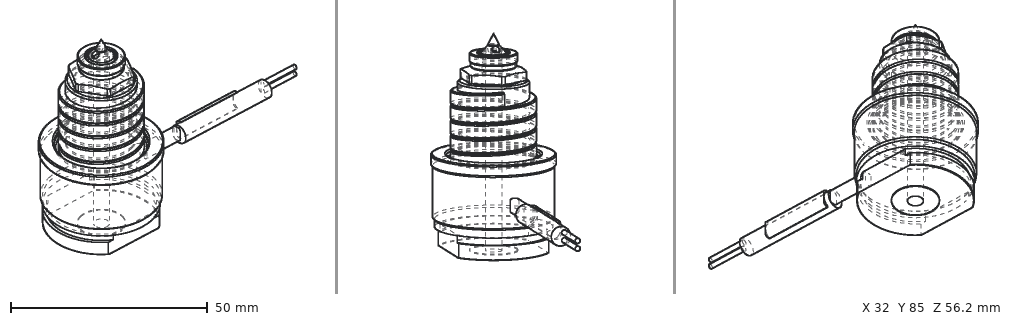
import cadquery as cq
import math


TOTAL_HEIGHT = 56.2
TOTAL_LENGTH = 85.0
FLANGE_RADIUS = 16.0

BOSS_RADIUS = 6.1
BOSS_HEIGHT = 0.25
FOOT_RADIUS = 15.0
FOOT_TOP_Z = 4.1
FOOT_CHAMFER = 0.2
UNDERCUT_RADIUS = 14.0
UNDERCUT_TOP_Z = 6.1
FLATS_WIDTH = 24.0

SKIRT_RADIUS = 15.05
BODY_RADIUS = 15.55
BODY_BOTTOM_Z = 8.2
FLANGE_BOTTOM_Z = 21.9
FLANGE_TOP_Z = 25.1
STEP_CHAMFER = 0.5
FLANGE_CHAMFER = 0.3

RECESS_RADIUS = 12.0
RECESS_DEPTH = 1.7
RECESS_CHAMFER = 0.4

CORE_RADIUS = 9.2
CORE_TOP_Z = 44.0
CORE_CHAMFER = 0.5
RIDGE_RADIUS = 11.0
RIDGE_HEIGHT = 3.4
RIDGE_PITCH = 3.9
RIDGE_CHAMFER = 0.3
RIDGE_TURNS = 5.1
RIDGE_END_TOP_Z = 42.75
RIDGE_END_ANGLE = 87.5
RIDGE_OVERLAP = 0.7

NECK_RADIUS = 7.0
NUT_SIDES = 6
NUT_BOTTOM_Z = 44.45
NUT_FLATS_WIDTH = 15.3
NUT_CORNER_RADIUS = 8.6
NUT_EDGE_Z = 46.6
NUT_TOP_Z = 47.4
COLLAR_WAIST_RADIUS = 5.5
COLLAR_NECK_RADIUS = 5.9
COLLAR_NECK_BOTTOM_Z = 47.8
COLLAR_NECK_TOP_Z = 48.8
COLLAR_RADIUS = 6.1
COLLAR_BOTTOM_Z = 49.1
COLLAR_TOP_Z = 51.25
COLLAR_CHAMFER = 0.25

TIP_RADIUS = 1.45
TIP_BASE_Z = 53.1
TIP_BAND_HEIGHT = 0.25
TORPEDO_RADIUS = 3.3
TORPEDO_BASE_Z = TIP_BASE_Z - (TORPEDO_RADIUS - TIP_RADIUS)
MOAT_RADIUS = 3.9
MOAT_CHAMFER = 0.3
MOAT_DEPTH = 1.3

BORE_RADIUS = 2.0
BORE_TOP_Z = 51.3
OUTLET_RADIUS = 1.0
OUTLET_Y = 2.1
OUTLET_Z = TIP_BASE_Z - (OUTLET_Y - TIP_RADIUS)
OUTLET_ANGLE = 45.0

CABLE_Z = 14.45
CABLE_X = -0.8
CABLE_WIDTH = 2.4
CABLE_HEIGHT = 3.8
CABLE_FILLET = 0.7
CABLE_START_Y = 12.75
SLEEVE_Z = 14.5
SLEEVE_RADIUS = 2.55
SLEEVE_START_Y = 27.4
SLEEVE_END_Y = 57.6
PAD_START_Y = 28.9
PAD_END_Y = 48.9
PAD_INNER_X = -1.0
PAD_OUTER_X = -2.6
PAD_HEIGHT = 4.9
PAD_FILLET = 1.0
WIRE_RADIUS = 0.7
WIRE_X = -0.9
WIRE_SPACING = 2.0
WIRE_END_Y = TOTAL_LENGTH - FLANGE_RADIUS


def revolved(points):
    """Solid of revolution about Z from (radius, z) points."""
    return cq.Workplane("XZ").polyline(points).close().revolve(360, (0, 0), (0, 1))


def along_y(x, z, start_y, end_y):
    """Workplane at (x, start_y, z) facing +Y, with the length to extrude."""
    plane = cq.Plane(origin=(x, start_y, z), xDir=(1, 0, 0), normal=(0, 1, 0))
    return cq.Workplane(plane), end_y - start_y


def make_base():
    foot = revolved([
        (0, 0),
        (BOSS_RADIUS, 0),
        (BOSS_RADIUS, BOSS_HEIGHT),
        (FOOT_RADIUS - FOOT_CHAMFER, BOSS_HEIGHT),
        (FOOT_RADIUS, BOSS_HEIGHT + FOOT_CHAMFER),
        (FOOT_RADIUS, FOOT_TOP_Z),
        (UNDERCUT_RADIUS, FOOT_TOP_Z),
        (UNDERCUT_RADIUS, UNDERCUT_TOP_Z),
        (0, UNDERCUT_TOP_Z),
    ])
    flats = cq.Workplane("XY").rect(FLATS_WIDTH, 2 * FOOT_RADIUS).extrude(UNDERCUT_TOP_Z)
    return foot.intersect(flats)


def make_body():
    recess_floor_z = FLANGE_TOP_Z - RECESS_DEPTH
    return revolved([
        (0, UNDERCUT_TOP_Z),
        (SKIRT_RADIUS, UNDERCUT_TOP_Z),
        (SKIRT_RADIUS, BODY_BOTTOM_Z),
        (BODY_RADIUS, BODY_BOTTOM_Z + STEP_CHAMFER),
        (BODY_RADIUS, FLANGE_BOTTOM_Z),
        (FLANGE_RADIUS, FLANGE_BOTTOM_Z + STEP_CHAMFER),
        (FLANGE_RADIUS, FLANGE_TOP_Z - FLANGE_CHAMFER),
        (FLANGE_RADIUS - FLANGE_CHAMFER, FLANGE_TOP_Z),
        (RECESS_RADIUS + RECESS_CHAMFER, FLANGE_TOP_Z),
        (RECESS_RADIUS, FLANGE_TOP_Z - RECESS_CHAMFER),
        (RECESS_RADIUS, recess_floor_z + RECESS_CHAMFER),
        (RECESS_RADIUS - RECESS_CHAMFER, recess_floor_z),
        (0, recess_floor_z),
    ])


def make_core():
    return revolved([
        (0, FLANGE_BOTTOM_Z),
        (CORE_RADIUS, FLANGE_BOTTOM_Z),
        (CORE_RADIUS, CORE_TOP_Z - CORE_CHAMFER),
        (CORE_RADIUS - CORE_CHAMFER, CORE_TOP_Z),
        (NECK_RADIUS, CORE_TOP_Z),
        (NECK_RADIUS, NUT_BOTTOM_Z),
        (0, NUT_BOTTOM_Z),
    ])


def make_ridge():
    """Right-hand helical ridge that ends with a flat face on the +Y side."""
    climb = RIDGE_TURNS * RIDGE_PITCH
    half_height = RIDGE_HEIGHT / 2
    start_z = RIDGE_END_TOP_Z - half_height - climb
    inner_radius = CORE_RADIUS - RIDGE_OVERLAP
    helix = cq.Wire.makeHelix(RIDGE_PITCH, climb, RIDGE_RADIUS)
    profile = cq.Workplane("XZ").polyline([
        (inner_radius, -half_height),
        (RIDGE_RADIUS, -half_height),
        (RIDGE_RADIUS, half_height - RIDGE_CHAMFER),
        (RIDGE_RADIUS - RIDGE_CHAMFER, half_height),
        (inner_radius, half_height),
    ]).close()
    ridge = profile.sweep(cq.Workplane(helix), isFrenet=True)
    start_angle = RIDGE_END_ANGLE - 360 * (RIDGE_TURNS % 1)
    return ridge.rotate((0, 0, 0), (0, 0, 1), start_angle).translate((0, 0, start_z))


def make_nut():
    half_side_angle = 180 / NUT_SIDES
    corner_diameter = NUT_FLATS_WIDTH / math.cos(math.radians(half_side_angle))
    hexagon = (
        cq.Workplane("XY", origin=(0, 0, NUT_BOTTOM_Z))
        .polygon(NUT_SIDES, corner_diameter)
        .extrude(NUT_TOP_Z - NUT_BOTTOM_Z)
        .rotate((0, 0, 0), (0, 0, 1), half_side_angle)
    )
    turned_blank = revolved([
        (0, NUT_BOTTOM_Z),
        (NUT_CORNER_RADIUS, NUT_BOTTOM_Z),
        (NUT_CORNER_RADIUS, NUT_EDGE_Z),
        (COLLAR_WAIST_RADIUS, NUT_TOP_Z),
        (0, NUT_TOP_Z),
    ])
    return hexagon.intersect(turned_blank)


def make_collar_and_tip():
    moat_floor_z = COLLAR_TOP_Z - MOAT_DEPTH
    return revolved([
        (0, NUT_TOP_Z),
        (COLLAR_WAIST_RADIUS, NUT_TOP_Z),
        (COLLAR_NECK_RADIUS, COLLAR_NECK_BOTTOM_Z),
        (COLLAR_NECK_RADIUS, COLLAR_NECK_TOP_Z),
        (COLLAR_RADIUS, COLLAR_BOTTOM_Z),
        (COLLAR_RADIUS, COLLAR_TOP_Z - COLLAR_CHAMFER),
        (COLLAR_RADIUS - COLLAR_CHAMFER, COLLAR_TOP_Z),
        (MOAT_RADIUS + MOAT_CHAMFER, COLLAR_TOP_Z),
        (MOAT_RADIUS, COLLAR_TOP_Z - MOAT_CHAMFER),
        (MOAT_RADIUS, moat_floor_z),
        (TORPEDO_RADIUS, moat_floor_z),
        (TORPEDO_RADIUS, TORPEDO_BASE_Z),
        (TIP_RADIUS, TIP_BASE_Z),
        (TIP_RADIUS, TIP_BASE_Z + TIP_BAND_HEIGHT),
        (0, TOTAL_HEIGHT),
    ])


def make_melt_channel():
    """Central bore with two outlets sloping up to the cone on the -Y and +Y sides."""
    channel = cq.Workplane("XY").circle(BORE_RADIUS).extrude(BORE_TOP_Z)
    slope = math.tan(math.radians(OUTLET_ANGLE))
    meeting_z = OUTLET_Z - OUTLET_Y * slope
    outlet_length = 2 * OUTLET_Y / math.cos(math.radians(OUTLET_ANGLE))
    for side in (-1, 1):
        plane = cq.Plane(
            origin=(0, 0, meeting_z),
            xDir=(1, 0, 0),
            normal=(0, side, slope),
        )
        channel = channel.union(cq.Workplane(plane).circle(OUTLET_RADIUS).extrude(outlet_length))
    return channel


def make_cable():
    jacket_plane, jacket_length = along_y(CABLE_X, CABLE_Z, CABLE_START_Y, SLEEVE_START_Y)
    cable = jacket_plane.rect(CABLE_WIDTH, CABLE_HEIGHT).extrude(jacket_length)
    cable = cable.edges("|Y").fillet(CABLE_FILLET)

    sleeve_plane, sleeve_length = along_y(0, SLEEVE_Z, SLEEVE_START_Y, SLEEVE_END_Y)
    cable = cable.union(sleeve_plane.circle(SLEEVE_RADIUS).extrude(sleeve_length))

    pad_x = (PAD_INNER_X + PAD_OUTER_X) / 2
    pad_plane, pad_length = along_y(pad_x, SLEEVE_Z, PAD_START_Y, PAD_END_Y)
    pad = pad_plane.rect(PAD_INNER_X - PAD_OUTER_X, PAD_HEIGHT).extrude(pad_length)
    cable = cable.union(pad.edges("|Y and <X").fillet(PAD_FILLET))

    for offset_z in (-WIRE_SPACING / 2, WIRE_SPACING / 2):
        wire_plane, wire_length = along_y(WIRE_X, CABLE_Z + offset_z, SLEEVE_END_Y, WIRE_END_Y)
        cable = cable.union(wire_plane.circle(WIRE_RADIUS).extrude(wire_length))
    return cable


nozzle = make_core().union(make_ridge())
nozzle = nozzle.union(make_nut()).union(make_collar_and_tip())
housing = make_base().union(make_body()).union(make_cable())
result = housing.union(nozzle).cut(make_melt_channel())